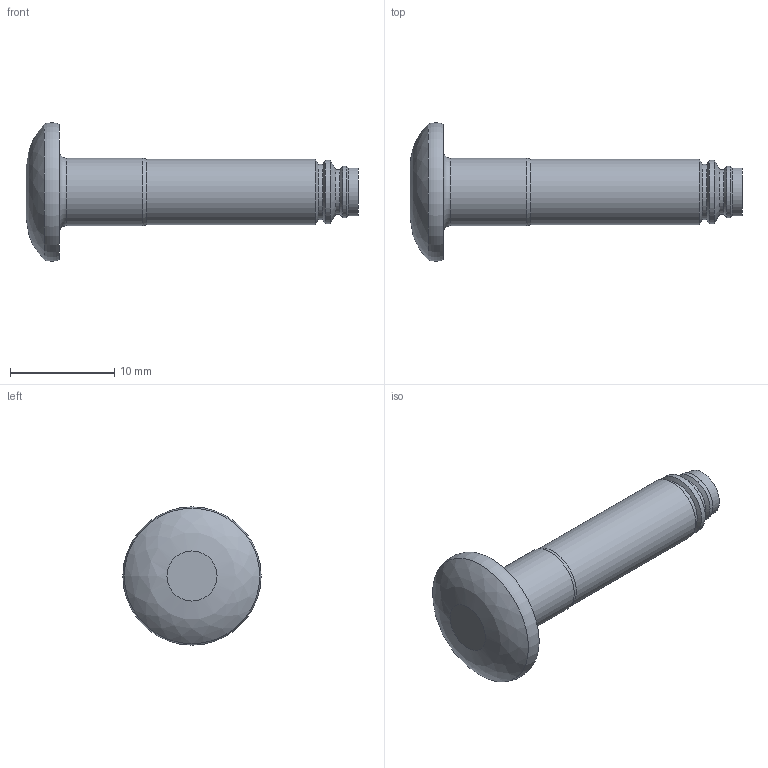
import cadquery as cq
import math

TOTAL_LENGTH = 31.83

HEAD_RADIUS = 6.635
HEAD_FLAT_RADIUS = 2.4
HEAD_EDGE_RADIUS = 6.5
DOME_HEIGHT = 1.74
HEAD_THICKNESS = 3.2
NECK_FILLET = 0.65

THICK_RADIUS = 3.25
THICK_END = 11.2
TAPER_LENGTH = 0.38
THIN_RADIUS = 3.15
SHANK_END = 27.75

SHANK_CONE_LENGTH = 0.26
GROOVE_RADIUS = 2.65
GROOVE_END = 28.47

FLANGE_RADIUS = 3.05
FLANGE_START = 28.67
FLANGE_END = 29.17
FLANGE_CONE_END = 29.7

NECK_RADIUS = 2.12
NECK_END = 30.1
COLLAR_RADIUS = 2.48
COLLAR_START = 30.38
COLLAR_END = 30.77
COLLAR_CONE_LENGTH = 0.11

TIP_RADIUS = 2.3


def tangent_dome_midpoint():
    """Middle of the dome arc, which leaves the head flat tangentially."""
    radial_run = HEAD_EDGE_RADIUS - HEAD_FLAT_RADIUS
    dome_radius = (radial_run**2 + DOME_HEIGHT**2) / (2 * DOME_HEIGHT)
    half_sweep = math.atan2(DOME_HEIGHT, radial_run)
    x = dome_radius * (1 - math.cos(half_sweep))
    radius = HEAD_FLAT_RADIUS + dome_radius * math.sin(half_sweep)
    return x, radius


def draw_head(profile):
    """Flat, dome, rounded rim, back face and the fillet into the shank."""
    rim_middle = (DOME_HEIGHT + HEAD_THICKNESS) / 2
    fillet_offset = NECK_FILLET * (1 - math.sqrt(0.5))
    fillet_middle = (HEAD_THICKNESS + fillet_offset, THICK_RADIUS + fillet_offset)
    return (
        profile.lineTo(0, HEAD_FLAT_RADIUS)
        .threePointArc(tangent_dome_midpoint(), (DOME_HEIGHT, HEAD_EDGE_RADIUS))
        .threePointArc((rim_middle, HEAD_RADIUS), (HEAD_THICKNESS, HEAD_EDGE_RADIUS))
        .lineTo(HEAD_THICKNESS, THICK_RADIUS + NECK_FILLET)
        .threePointArc(fillet_middle, (HEAD_THICKNESS + NECK_FILLET, THICK_RADIUS))
    )


def draw_shank(profile):
    """Thick part, taper and thin part."""
    return (
        profile.lineTo(THICK_END, THICK_RADIUS)
        .lineTo(THICK_END + TAPER_LENGTH, THIN_RADIUS)
        .lineTo(SHANK_END, THIN_RADIUS)
    )


def draw_tail(profile):
    """Groove, flange, second groove, collar and plain tip."""
    groove_start = SHANK_END + SHANK_CONE_LENGTH
    return (
        profile.lineTo(groove_start, GROOVE_RADIUS)
        .lineTo(GROOVE_END, GROOVE_RADIUS)
        .lineTo(FLANGE_START, FLANGE_RADIUS)
        .lineTo(FLANGE_END, FLANGE_RADIUS)
        .lineTo(FLANGE_CONE_END, NECK_RADIUS)
        .lineTo(NECK_END, NECK_RADIUS)
        .lineTo(COLLAR_START, COLLAR_RADIUS)
        .lineTo(COLLAR_END, COLLAR_RADIUS)
        .lineTo(COLLAR_END + COLLAR_CONE_LENGTH, TIP_RADIUS)
        .lineTo(TOTAL_LENGTH, TIP_RADIUS)
        .lineTo(TOTAL_LENGTH, 0)
    )


profile = cq.Workplane("XY").moveTo(0, 0)
profile = draw_head(profile)
profile = draw_shank(profile)
profile = draw_tail(profile)

result = profile.close().revolve(360, (0, 0, 0), (1, 0, 0))